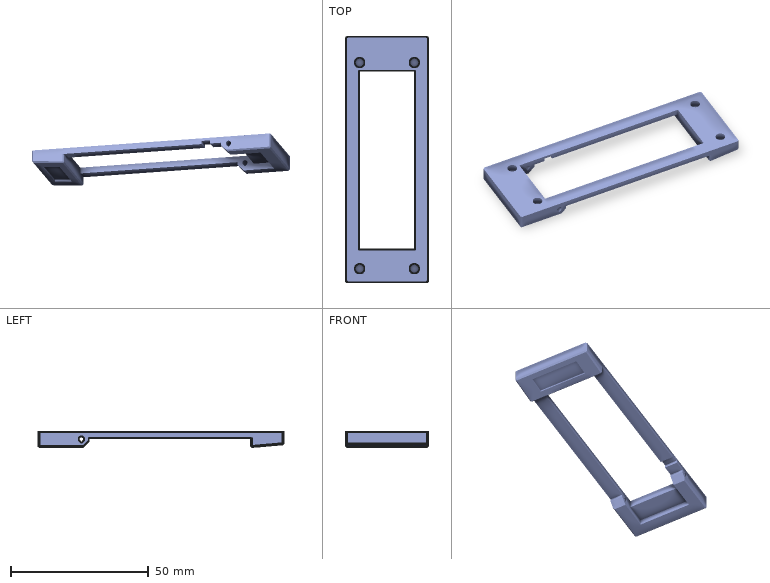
import cadquery as cq
import math

width = 30.0
length = 89.4
height = 5.51
edge_chamfer = 0.5

frame_thickness = 2.2
opening_width = 20.2
front_border = 12.0
rear_border = 12.4

front_slope_degrees = 5.0

rear_block_length = 18.5
nose_slope_start = 3.2
nose_slope_run = height - nose_slope_start
web_thickness = 3.2
cavity_end_wall = (width - opening_width) / 2

blind_hole_diameter = 3.5
blind_hole_depth = 2.6
blind_hole_spacing_x = 19.9
blind_hole_spacing_y = 75.0
front_hole_margin = 5.0

teardrop_radius = 0.95
teardrop_margin = 15.75
teardrop_depth = 2.6

notch_rear_y = 22.1
notch_length = 3.2
notch_roof_depth = 1.0

recess_width = 18.5
recess_length = 6.4
recess_depth = 0.7
recess_rear_margin = 2.5

front_y = -length / 2
rear_y = length / 2
opening_front_y = front_y + front_border
opening_rear_y = rear_y - rear_border
lug_tip_y = rear_y - rear_block_length
slope = math.tan(math.radians(front_slope_degrees))
slope_low_y = opening_front_y - edge_chamfer


def box_between(x_range, y_range, z_range):
    """Axis-aligned box from (start, end) pairs."""
    size = [end - start for start, end in (x_range, y_range, z_range)]
    corner = (x_range[0], y_range[0], z_range[0])
    return cq.Workplane("XY").box(*size, centered=False).translate(corner)


def extrude_side_profile(points):
    """Extrude a closed (Y, Z) outline across the full width."""
    return cq.Workplane("YZ").polyline(points).close().extrude(width / 2, both=True)


def frame():
    plate = cq.Workplane("XY").box(width, length, frame_thickness, centered=(True, True, False))
    return plate.translate((0, 0, -frame_thickness)).edges("|Z").chamfer(edge_chamfer)


def front_block():
    def underside_z(y):
        return -height + slope * (slope_low_y - y)

    block = extrude_side_profile([
        (front_y, 0),
        (opening_front_y, 0),
        (opening_front_y, underside_z(opening_front_y)),
        (front_y, underside_z(front_y)),
    ])
    return block.edges("not(>Z)").chamfer(edge_chamfer)


def rear_block():
    blank_front_y = lug_tip_y - height
    blank = box_between((-width / 2, width / 2), (blank_front_y, rear_y), (-height, 0))
    blank = blank.edges("|Z or <Z").chamfer(edge_chamfer)
    profile = extrude_side_profile([
        (rear_y, 0),
        (lug_tip_y, 0),
        (lug_tip_y, -nose_slope_start),
        (lug_tip_y + nose_slope_run, -height),
        (rear_y, -height),
    ])
    return blank.intersect(profile)


def opening():
    half = opening_width / 2
    return box_between((-half, half), (opening_front_y, opening_rear_y), (-height, 0))


def rear_cavity():
    """Space under the rear web, open to the opening and at the bottom."""
    half = opening_width / 2
    y_range = (opening_rear_y, rear_y - cavity_end_wall)
    return box_between((-half, half), y_range, (-height, -web_thickness))


def blind_holes():
    center_y = front_y + front_hole_margin + blind_hole_spacing_y / 2
    return (
        cq.Workplane("XY")
        .center(0, center_y)
        .rarray(blind_hole_spacing_x, blind_hole_spacing_y, 2, 2)
        .circle(blind_hole_diameter / 2)
        .extrude(-blind_hole_depth)
    )


def teardrop_hole():
    tangent = teardrop_radius * math.sqrt(0.5)
    tip = teardrop_radius * math.sqrt(2)
    return (
        cq.Workplane("YZ")
        .center(rear_y - teardrop_margin, -teardrop_depth)
        .moveTo(-tangent, -tangent)
        .threePointArc((0, teardrop_radius), (tangent, -tangent))
        .lineTo(0, -tip)
        .close()
        .extrude(width / 2, both=True)
    )


def rail_notch():
    y_range = (notch_rear_y - notch_length, notch_rear_y)
    return box_between((opening_width / 2, width / 2), y_range, (-frame_thickness, -notch_roof_depth))


def underside_recess():
    """Rectangular pocket sunk at right angles to the sloped underside."""
    pocket = (
        cq.Workplane("XY")
        .box(recess_width, recess_length, 2 * recess_depth)
        .translate((0, -recess_rear_margin - recess_length / 2, 0))
        .rotate((0, 0, 0), (1, 0, 0), -front_slope_degrees)
    )
    return pocket.translate((0, slope_low_y, -height))


result = frame().union(front_block()).union(rear_block())
for cutter in (opening(), rear_cavity(), blind_holes(), teardrop_hole(), rail_notch(), underside_recess()):
    result = result.cut(cutter)